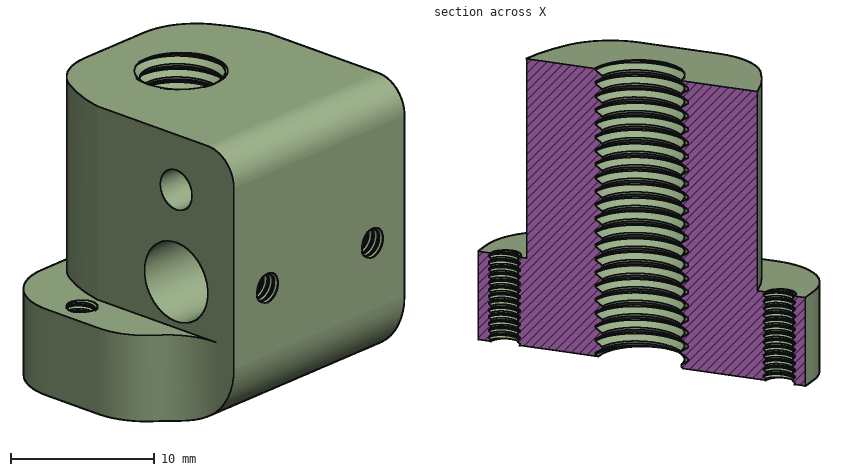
import cadquery as cq
import math

length = 19.4
width = 25.0
height = 21.25

flange_height = 6.55
flange_corner_radius = 5.0
flange_curve_end = 17.68

block_width = 17.65
block_half_flat = 3.05
block_arc_joint = (2.45, 7.32)
block_side_start = 6.4
top_edge_radius = 2.5
bottom_edge_radius = 5.0

main_thread = (6.0, 7.1, 1.0, 200)
screw_thread = (2.05, 2.38, 0.5, 45)
hole_x = 6.42
flange_screw_y = 10.5
groove_mouth_ratio = 0.9
groove_root_ratio = 0.12
groove_overlap = 0.05

cross_hole_x = 13.92
rod_diameter = 6.0
rod_z = 10.05
pin_diameter = 3.0
pin_z = 17.05

clamp_screw_y = 5.42


def make_flange():
    """Plate with round back corners and S-curved front corners."""
    half = width / 2
    r = flange_corner_radius
    rise = (half - block_width / 2) / 2
    run = math.sqrt(2 * r * rise - rise**2)
    middle_x = flange_curve_end - run
    straight_end = middle_x - run
    half_plate = (
        cq.Workplane("XY")
        .moveTo(0, 0)
        .lineTo(0, half - r)
        .tangentArcPoint((r, half), relative=False)
        .lineTo(straight_end, half)
        .tangentArcPoint((middle_x, half - rise), relative=False)
        .tangentArcPoint((flange_curve_end, block_width / 2), relative=False)
        .lineTo(flange_curve_end, 0)
        .close()
        .extrude(flange_height)
    )
    return half_plate.union(half_plate.mirror("XZ"))


def make_block():
    """Upright block whose back corners are two tangent arcs each."""
    half = block_width / 2
    half_block = (
        cq.Workplane("XY")
        .moveTo(0, 0)
        .lineTo(0, block_half_flat)
        .tangentArcPoint(block_arc_joint, relative=False)
        .tangentArcPoint((block_side_start, half), relative=False)
        .lineTo(length, half)
        .lineTo(length, 0)
        .close()
        .extrude(height)
    )
    return half_block.union(half_block.mirror("XZ"))


def make_side_profile():
    """Rounded side outline that trims the block and the flange."""
    return (
        cq.Workplane("XY")
        .box(length, width, height, centered=(False, True, False))
        .edges(">X and >Z")
        .fillet(top_edge_radius)
        .edges(">X and <Z")
        .fillet(bottom_edge_radius)
    )


def make_groove_turn(thread):
    """One turn of the helical groove around Z, bounded by one ruled face per side of its profile."""
    inside_diameter, groove_diameter, pitch, start_turn = thread
    inner_radius = inside_diameter / 2 - groove_overlap
    outer_radius = groove_diameter / 2
    mouth = pitch * groove_mouth_ratio / 2
    root = pitch * groove_root_ratio / 2
    profile = [
        (inner_radius, -mouth),
        (outer_radius, -root),
        (outer_radius, root),
        (inner_radius, mouth),
    ]
    helices = [
        cq.Wire.makeHelix(pitch, pitch, radius, cq.Vector(0, 0, z))
        for radius, z in profile
    ]
    faces = [
        cq.Face.makeRuledSurface(helix, helices[index - 1])
        for index, helix in enumerate(helices)
    ]
    for end_z in (0, pitch):
        corners = [cq.Vector(radius, 0, end_z + z) for radius, z in profile]
        faces.append(cq.Face.makeFromWires(cq.Wire.makePolygon(corners, close=True)))
    groove_turn = cq.Solid.makeSolid(cq.Shell.makeShell(faces)).fix()
    return groove_turn.rotate(cq.Vector(0, 0, 0), cq.Vector(0, 0, 1), start_turn)


def cut_thread(body, thread, depth, place):
    """Cut a bore along the local Z of a plane, then its groove turn by turn past both ends."""
    inside_diameter, _, pitch, _ = thread
    bore = cq.Workplane(place).circle(inside_diameter / 2).extrude(depth)
    groove_turn = make_groove_turn(thread)
    last_turn = math.ceil(depth / pitch)
    turns = [
        groove_turn.translate(cq.Vector(0, 0, turn * pitch)).moved(place.location)
        for turn in range(-1, last_turn + 1)
    ]
    bored = body.cut(bore, clean=False).val()
    return cq.Workplane(bored.cut(*turns))


def cross_hole(diameter, z):
    """Plain hole through the whole width."""
    return (
        cq.Workplane("XZ")
        .center(cross_hole_x, z)
        .circle(diameter / 2)
        .extrude(width / 2, both=True)
    )


result = make_block().union(make_flange()).intersect(make_side_profile())

result = result.cut(cross_hole(rod_diameter, rod_z))
result = result.cut(cross_hole(pin_diameter, pin_z))
result = cut_thread(result, main_thread, height, cq.Plane((hole_x, 0, 0)))

clamp_depth = length - cross_hole_x
for side in (-1, 1):
    flange_place = cq.Plane((hole_x, side * flange_screw_y, 0))
    result = cut_thread(result, screw_thread, flange_height, flange_place)
    clamp_place = cq.Plane((cross_hole_x, side * clamp_screw_y, rod_z), xDir=(0, 1, 0), normal=(1, 0, 0))
    result = cut_thread(result, screw_thread, clamp_depth, clamp_place)

result = result.solids()